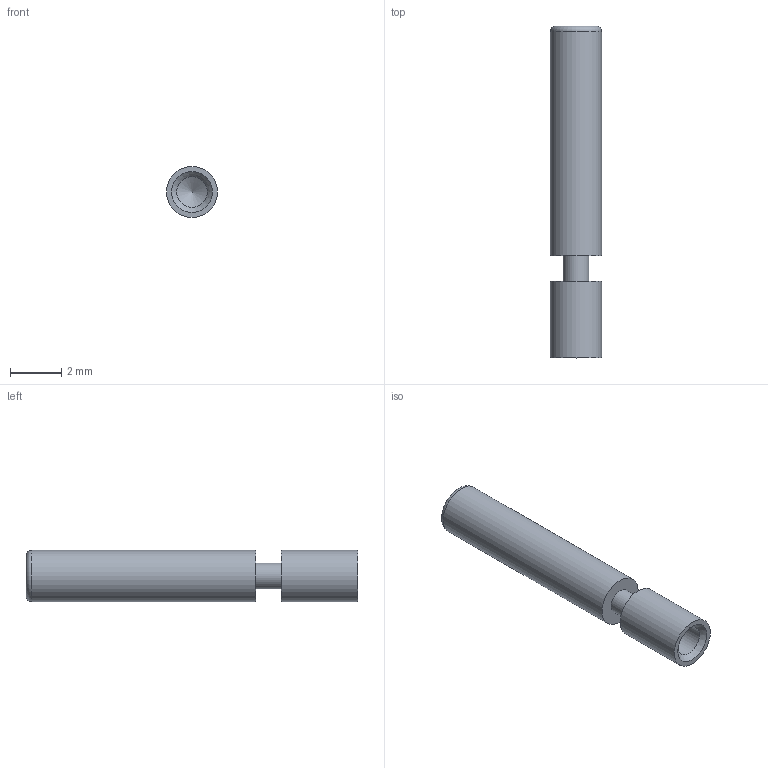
import cadquery as cq
import math

SOCKET_LENGTH = 3.0
NECK_LENGTH = 1.0
BODY_LENGTH = 9.0
TOTAL_LENGTH = SOCKET_LENGTH + NECK_LENGTH + BODY_LENGTH

PIN_RADIUS = 1.0
NECK_RADIUS = 0.5
END_FILLET = 0.2

BORE_RADIUS = 0.6
MOUTH_RADIUS = 0.8
MOUTH_DEPTH = 0.2
BORE_DEPTH = 2.0
DRILL_POINT_ANGLE = 118.0
BORE_TIP_DEPTH = BORE_DEPTH + BORE_RADIUS / math.tan(math.radians(DRILL_POINT_ANGLE / 2))


def revolve_about_y(profile):
    """Turn a closed XY half-profile into a solid around the Y axis."""
    return profile.close().revolve(360, (0, 0, 0), (0, 1, 0))


def make_pin():
    """Socket, narrow neck and long body, with the far end rounded."""
    neck_end = SOCKET_LENGTH + NECK_LENGTH
    profile = (
        cq.Workplane("XY")
        .lineTo(PIN_RADIUS, 0)
        .lineTo(PIN_RADIUS, SOCKET_LENGTH)
        .lineTo(NECK_RADIUS, SOCKET_LENGTH)
        .lineTo(NECK_RADIUS, neck_end)
        .lineTo(PIN_RADIUS, neck_end)
        .lineTo(PIN_RADIUS, TOTAL_LENGTH)
        .lineTo(0, TOTAL_LENGTH)
    )
    return revolve_about_y(profile).faces(">Y").edges().fillet(END_FILLET)


def make_bore():
    """Volume removed by the bore, from its tapered mouth to its conical tip."""
    profile = (
        cq.Workplane("XY")
        .lineTo(MOUTH_RADIUS, 0)
        .lineTo(BORE_RADIUS, MOUTH_DEPTH)
        .lineTo(BORE_RADIUS, BORE_DEPTH)
        .lineTo(0, BORE_TIP_DEPTH)
    )
    return revolve_about_y(profile)


result = make_pin().cut(make_bore())